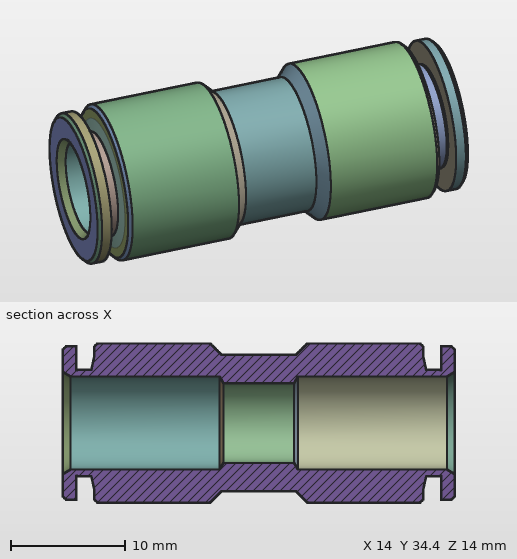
import cadquery as cq

length = 34.4
body_diameter = 14.0

flange_diameter = 13.5
flange_thickness = 1.2
flange_chamfer = 0.3
neck_diameter = 9.4
neck_relief_diameter = 9.25
neck_relief_length = 0.17

collar_gap = 1.3
face_diameter = 13.38
face_cone_diameter = 11.63
face_cone_length = 0.25
rim_chamfer_length = 0.3
waist_diameter = 12.0
waist_length = 6.55

bore_diameter = 7.0
socket_diameter = 8.15
mouth_diameter = 8.98
mouth_chamfer_length = 0.7
stop_half_length = 3.1
stop_cone_length = 0.35

end = length / 2
flange_back = end - flange_thickness
cone_tip = flange_back - collar_gap
face = cone_tip - face_cone_length
rim_end = face - rim_chamfer_length
waist_end = waist_length / 2
shoulder_end = waist_end + (body_diameter - waist_diameter) / 2

outer_steps = [
    (waist_diameter, waist_end),
    (body_diameter, shoulder_end),
    (body_diameter, rim_end),
    (face_diameter, face),
    (face_cone_diameter, face),
    (neck_diameter, cone_tip),
    (neck_diameter, flange_back - neck_relief_length),
    (neck_relief_diameter, flange_back),
    (flange_diameter, flange_back),
    (flange_diameter, end - flange_chamfer),
    (flange_diameter - 2 * flange_chamfer, end),
]

bore_steps = [
    (mouth_diameter, end),
    (socket_diameter, end - mouth_chamfer_length),
    (socket_diameter, stop_half_length + stop_cone_length),
    (bore_diameter, stop_half_length),
]


def half_section(side):
    """Points (radius, y) from waist to stop, towards +Y (side 1) or -Y (side -1)."""
    return [(diameter / 2, side * distance) for diameter, distance in outer_steps + bore_steps]


section = half_section(1) + half_section(-1)[::-1]
result = cq.Workplane("XY").polyline(section).close().revolve(360, (0, 0, 0), (0, 1, 0))